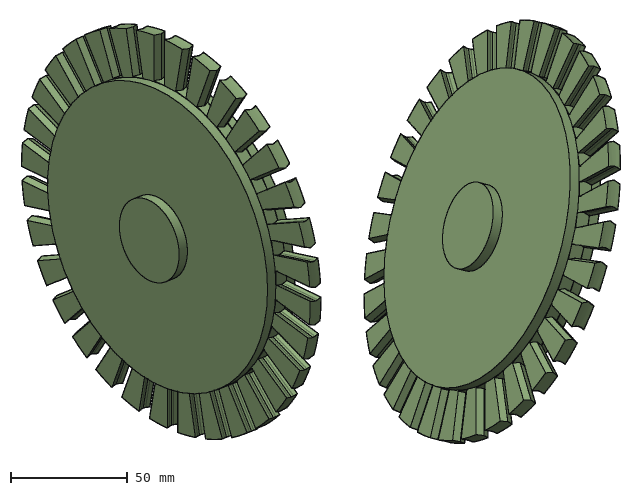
import cadquery as cq

OUTER_DIAMETER = 184.4
DISC_DIAMETER = 140.5
HUB_DIAMETER = 38.2
TOTAL_WIDTH = 25.5
DISC_WIDTH = 15.9
BLADE_WIDTH = 6.3
BLADE_COUNT = 32

GAP_LEFT = -7.5
GAP_WIDTH = 6.6
RIDGE_HEIGHT = 1.2
HOLLOW_DEPTH = 0.87
CREASE_DEPTH = 0.66
CREASE_OFFSET = 1.2

GAP_RIGHT = GAP_LEFT + GAP_WIDTH
GAP_FLOOR = DISC_DIAMETER / 2
GAP_OVERSHOOT = 1.8


def cylinder_along_y(diameter, width):
    """Cylinder on the Y axis, centred on the origin."""
    return cq.Workplane("XZ").circle(diameter / 2).extrude(width / 2, both=True)


def blade_gap():
    """Cutter with a V-shaped ridge on its left wall and a four-facet hollow on its right wall."""
    half_width = BLADE_WIDTH / 2
    height = OUTER_DIAMETER / 2 + GAP_OVERSHOOT - GAP_FLOOR
    crease_x = GAP_RIGHT + CREASE_DEPTH
    return (
        cq.Workplane("XY", origin=(0, 0, GAP_FLOOR))
        .moveTo(GAP_LEFT, -half_width)
        .lineTo(GAP_LEFT + RIDGE_HEIGHT, 0)
        .lineTo(GAP_LEFT, half_width)
        .lineTo(GAP_RIGHT, half_width)
        .lineTo(crease_x, CREASE_OFFSET)
        .lineTo(GAP_RIGHT + HOLLOW_DEPTH, 0)
        .lineTo(crease_x, -CREASE_OFFSET)
        .lineTo(GAP_RIGHT, -half_width)
        .close()
        .extrude(height)
    )


wheel = cylinder_along_y(OUTER_DIAMETER, BLADE_WIDTH)
gap = blade_gap()
for index in range(BLADE_COUNT):
    angle = index * 360 / BLADE_COUNT
    wheel = wheel.cut(gap.rotate((0, 0, 0), (0, 1, 0), angle))

wheel = wheel.union(cylinder_along_y(DISC_DIAMETER, DISC_WIDTH))
wheel = wheel.union(cylinder_along_y(HUB_DIAMETER, TOTAL_WIDTH))

result = wheel